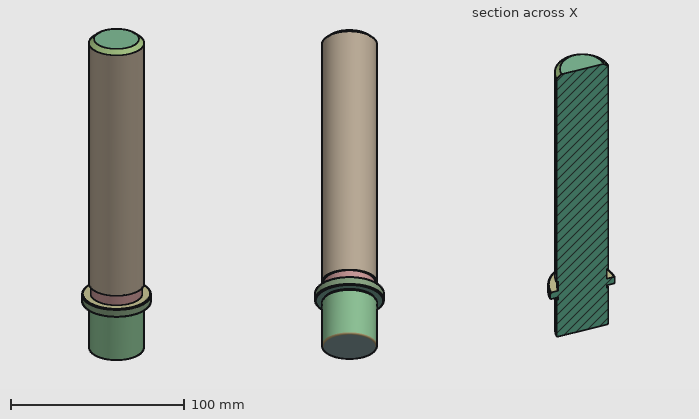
import cadquery as cq

total_height = 200.0
shaft_radius = 16.0
neck_radius = 15.0
collar_radius = 20.0

base_top = 28.5
collar_bottom = 30.0
collar_top = 35.5
shaft_bottom = 42.0

foot_fillet = 1.0
collar_chamfer = 0.5
tip_chamfer_height = 2.5
tip_chamfer_width = 3.0


def cylinder(radius, bottom, top):
    """Solid cylinder on the pin axis between two heights."""
    return cq.Workplane("XY").workplane(offset=bottom).circle(radius).extrude(top - bottom)


base = cylinder(shaft_radius, 0, base_top).faces("<Z").edges().fillet(foot_fillet)

neck = cylinder(neck_radius, base_top, shaft_bottom)

collar = cylinder(collar_radius, collar_bottom, collar_top).edges().chamfer(collar_chamfer)

taper_bottom = total_height - tip_chamfer_height
shaft = cylinder(shaft_radius, shaft_bottom, taper_bottom)
tip = (
    cq.Workplane("XY")
    .workplane(offset=taper_bottom)
    .circle(shaft_radius)
    .workplane(offset=tip_chamfer_height)
    .circle(shaft_radius - tip_chamfer_width)
    .loft(ruled=True)
)

result = base.union(neck).union(collar).union(shaft).union(tip)